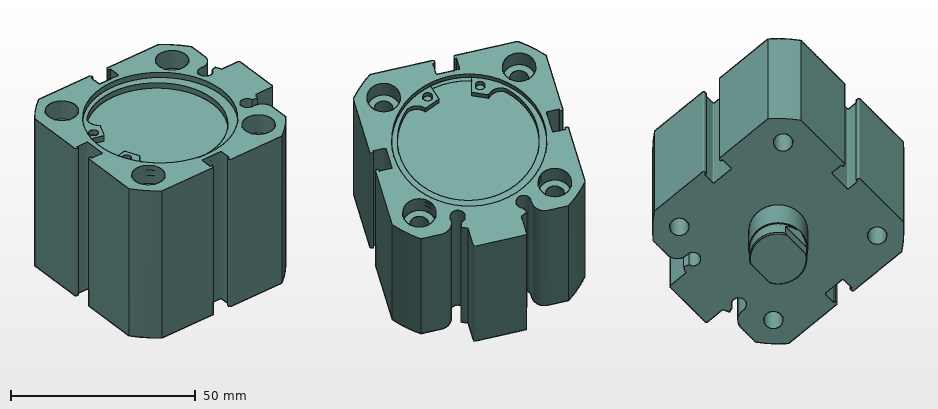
import cadquery as cq
import math

total_height = 66.0
rod_stickout = 16.95
housing_height = total_height - rod_stickout
half_width = 27.0
corner_radius = 34.0
boss_top = 33.0

boss_half_width = 7.45
boss_edge_fillet = 0.45
lip_x, lip_y = 9.25, 26.15
groove_x, groove_y = 9.25, 22.7
groove_radius = 2.05
lip_root_offset = 0.5
shoulder_radius = 3.55

slot_half_width = 3.3
slot_depth = 4.55
slot_floor_fillet = 0.3
lip_thickness = 1.0
mouth_half_width = 2.7
mouth_round = 0.45

bolt_offset = 18.95
bolt_diameter = 5.2
counterbore_diameter = 9.05
counterbore_depth = 6.0

bore_radius = 21.0
ring_recess = 1.7
ring_thickness = 1.8
ring_outer_radius = 22.1
ring_inner_radius = 19.2
ring_inner_offset = -1.1
ring_turn = -0.7
cover_thickness = 7.9
ring_top = housing_height - ring_recess
ring_bottom = ring_top - ring_thickness
cover_bottom = ring_bottom - cover_thickness

lug_tip = (8.85, -13.65)
lug_corner = (4.5, -15.65)
lug_end = (5.7, -20.0)
lug_notch_start = (13.85, -14.4)
lug_notch_middle = (11.6, -15.1)
lug_hole = (7.3, -17.1)
lug_hole_diameter = 2.65

rod_diameter = 16.0
tip_diameter = 15.6
shank_length = 11.0
tip_chamfer_height = 0.45
tip_chamfer_width = 0.25
step_height = (rod_diameter - tip_diameter) / 2
flat_half_width = 6.55
flat_length = 4.55
flat_runout = rod_diameter / 2 - flat_half_width


def square_body_with_boss():
    """Square body with the port boss and its grooves; the +X half is drawn, then mirrored."""
    lip_root_y = groove_y + math.sqrt(groove_radius**2 - lip_root_offset**2)
    groove_wall_x = groove_x + groove_radius
    shoulder_y = half_width - shoulder_radius
    diagonal = shoulder_radius * math.sqrt(0.5)
    half = (
        cq.Workplane("XY")
        .moveTo(0, -half_width)
        .lineTo(0, boss_top)
        .lineTo(boss_half_width, boss_top)
        .lineTo(boss_half_width, half_width)
        .lineTo(lip_x, lip_y)
        .lineTo(groove_x - lip_root_offset, lip_root_y)
        .threePointArc((groove_x, groove_y - groove_radius), (groove_wall_x, groove_y))
        .lineTo(groove_wall_x, shoulder_y)
        .threePointArc(
            (groove_wall_x + shoulder_radius - diagonal, shoulder_y + diagonal),
            (groove_wall_x + shoulder_radius, half_width),
        )
        .lineTo(half_width, half_width)
        .lineTo(half_width, -half_width)
        .close()
        .extrude(housing_height)
    )
    return half.union(half.mirror("YZ"))


def side_slot(angle):
    """T-slot cutter for the -Y face, turned about Z by the angle."""
    floor_y = slot_depth - half_width
    lip_y_inner = lip_thickness - half_width
    chamber = (
        cq.Workplane("XY")
        .rect(2 * slot_half_width, floor_y - lip_y_inner)
        .extrude(housing_height)
        .translate((0, (floor_y + lip_y_inner) / 2, 0))
        .edges("|Z and >Y")
        .fillet(slot_floor_fillet)
    )
    round_offset = mouth_round * (1 - math.sqrt(0.5))
    mouth = (
        cq.Workplane("XY")
        .moveTo(-mouth_half_width, lip_y_inner)
        .lineTo(mouth_half_width, lip_y_inner)
        .lineTo(mouth_half_width, mouth_round - half_width)
        .threePointArc(
            (mouth_half_width + round_offset, round_offset - half_width),
            (mouth_half_width + mouth_round, -half_width),
        )
        .lineTo(-mouth_half_width - mouth_round, -half_width)
        .threePointArc(
            (-mouth_half_width - round_offset, round_offset - half_width),
            (-mouth_half_width, mouth_round - half_width),
        )
        .close()
        .extrude(housing_height)
    )
    return chamber.union(mouth).rotate((0, 0, 0), (0, 0, 1), angle)


def disc(radius, bottom, top):
    return cq.Workplane("XY").workplane(offset=bottom).circle(radius).extrude(top - bottom)


def make_housing():
    body = square_body_with_boss()

    boss_zone = (
        cq.Workplane("XY")
        .rect(4 * boss_half_width, 2 * boss_top)
        .extrude(housing_height)
    )
    body = body.intersect(disc(corner_radius, 0, housing_height).union(boss_zone))
    body = body.edges("|Z and >Y").fillet(boss_edge_fillet)

    for angle in (0, 90, -90):
        body = body.cut(side_slot(angle))

    body = body.cut(disc(bore_radius, cover_bottom, housing_height))
    body = body.cut(disc(ring_outer_radius, ring_bottom, ring_top))
    body = body.cut(disc(rod_diameter / 2, 0, cover_bottom))

    return (
        body.faces(">Z")
        .workplane(origin=(0, 0, housing_height))
        .rect(2 * bolt_offset, 2 * bolt_offset, forConstruction=True)
        .vertices()
        .cboreHole(bolt_diameter, counterbore_diameter, counterbore_depth)
    )


def make_cover():
    return disc(bore_radius, cover_bottom, ring_bottom)


def mirrored(point):
    return (-point[0], point[1])


def make_ring():
    """Open retaining ring: a disc less its eccentric opening and the gap between its lugs."""
    reach = 2.0
    gap_end = (
        lug_corner[0] + reach * (lug_end[0] - lug_corner[0]),
        lug_corner[1] + reach * (lug_end[1] - lug_corner[1]),
    )
    opening = (
        cq.Workplane("XY")
        .workplane(offset=ring_bottom)
        .moveTo(*lug_notch_start)
        .threePointArc(lug_notch_middle, lug_tip)
        .lineTo(*lug_corner)
        .lineTo(*gap_end)
        .lineTo(*mirrored(gap_end))
        .lineTo(*mirrored(lug_corner))
        .lineTo(*mirrored(lug_tip))
        .threePointArc(mirrored(lug_notch_middle), mirrored(lug_notch_start))
        .threePointArc((0, ring_inner_offset + ring_inner_radius), lug_notch_start)
        .close()
        .extrude(ring_thickness)
    )
    lug_holes = (
        cq.Workplane("XY")
        .workplane(offset=ring_bottom)
        .pushPoints([lug_hole, mirrored(lug_hole)])
        .circle(lug_hole_diameter / 2)
        .extrude(ring_thickness)
    )
    ring = disc(ring_outer_radius, ring_bottom, ring_top).cut(opening).cut(lug_holes)
    return ring.rotate((0, 0, 0), (0, 0, 1), ring_turn)


def make_rod():
    shank_radius = rod_diameter / 2
    tip_radius = tip_diameter / 2
    rod = (
        cq.Workplane("XZ")
        .moveTo(0, cover_bottom)
        .lineTo(shank_radius, cover_bottom)
        .lineTo(shank_radius, -shank_length)
        .lineTo(tip_radius, -shank_length - step_height)
        .lineTo(tip_radius, tip_chamfer_height - rod_stickout)
        .lineTo(tip_radius - tip_chamfer_width, -rod_stickout)
        .lineTo(0, -rod_stickout)
        .close()
        .revolve(360, (0, 0), (0, 1))
    )

    flat_top = flat_length - rod_stickout
    outside = flat_half_width + 2 * flat_runout
    flat = (
        cq.Workplane("YZ")
        .moveTo(flat_half_width, -rod_stickout)
        .lineTo(flat_half_width, flat_top)
        .lineTo(outside, flat_top + 2 * flat_runout)
        .lineTo(outside, -rod_stickout)
        .close()
        .extrude(rod_diameter, both=True)
    )
    return rod.cut(flat).cut(flat.mirror("XZ"))


housing = make_housing()
cover = make_cover()
ring = make_ring()
rod = make_rod()

result = cq.Compound.makeCompound([housing.val(), cover.val(), ring.val(), rod.val()])